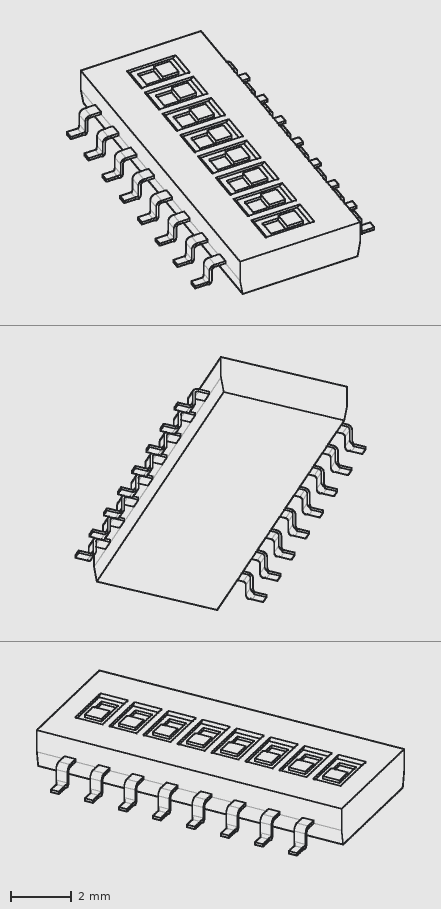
import cadquery as cq
import math

OVERALL_HEIGHT = 1.52
LEAD_SPAN = 6.7
POSITIONS = 8
PITCH = 1.27

BODY_LENGTH = 11.39
BODY_WIDTH = 4.5
STANDOFF = 0.1
PARTING_HEIGHT = 0.7
BASE_INSET = 0.1

WINDOW_LENGTH = 1.02
WINDOW_WIDTH = 1.82
WINDOW_DEPTH = 0.1
WINDOW_END_SLOPE = WINDOW_DEPTH

WELL_LENGTH = 0.62
WELL_WIDTH = 1.2
WELL_DEPTH = 0.1
KNOB_RISE = WINDOW_DEPTH

LEAD_THICKNESS = 0.1
LEAD_WIDTH = 0.42
TIP_WIDTH = 0.3
LEAD_TOP = 0.8
LEAD_OUTER_FACE = 2.85
KNEE_INNER_RADIUS = 0.1
ANKLE_INNER_RADIUS = 0.1
TAPER_LENGTH = (LEAD_WIDTH - TIP_WIDTH) / 2
LEAD_EMBED = 0.2

POSITION_CENTRES = [(i - (POSITIONS - 1) / 2) * PITCH for i in range(POSITIONS)]
WINDOW_FLOOR = OVERALL_HEIGHT - WINDOW_DEPTH
WELL_FLOOR = WINDOW_FLOOR - WELL_DEPTH


def make_body():
    """Housing with straight upper walls and long sides that taper in below the parting line."""
    half_width = BODY_WIDTH / 2
    half_base = half_width - BASE_INSET
    profile = [
        (-half_base, STANDOFF),
        (half_base, STANDOFF),
        (half_width, PARTING_HEIGHT),
        (half_width, OVERALL_HEIGHT),
        (-half_width, OVERALL_HEIGHT),
        (-half_width, PARTING_HEIGHT),
    ]
    return cq.Workplane("YZ").polyline(profile).close().extrude(BODY_LENGTH / 2, both=True)


def make_window_cutter():
    """Shallow window with sloping ends and upright sides."""
    half_top = WINDOW_WIDTH / 2
    half_floor = half_top - WINDOW_END_SLOPE
    profile = [
        (-half_floor, WINDOW_FLOOR),
        (half_floor, WINDOW_FLOOR),
        (half_top, OVERALL_HEIGHT),
        (-half_top, OVERALL_HEIGHT),
    ]
    return cq.Workplane("YZ").polyline(profile).close().extrude(WINDOW_LENGTH / 2, both=True)


def make_well_cutter():
    """Slider well: the -Y half of the slider opening, sunk below the window floor."""
    return (
        cq.Workplane("XY", origin=(0, -WELL_WIDTH / 4, WELL_FLOOR))
        .rect(WELL_LENGTH, WELL_WIDTH / 2)
        .extrude(WELL_DEPTH)
    )


def make_knob():
    """Slider knob: fills the +Y half of the slider opening and rises above the window floor."""
    return (
        cq.Workplane("XY", origin=(0, WELL_WIDTH / 4, WELL_FLOOR))
        .rect(WELL_LENGTH, WELL_WIDTH / 2)
        .extrude(WELL_DEPTH + KNOB_RISE)
    )


def arc_middle(centre, radius, degrees):
    """Point on a circle, used as the middle of a quarter bend."""
    angle = math.radians(degrees)
    return (centre[0] + radius * math.cos(angle), centre[1] + radius * math.sin(angle))


def make_lead():
    """Gull-wing lead on the +Y side at X = 0, narrowed from the ankle bend to the tip."""
    root = BODY_WIDTH / 2 - LEAD_EMBED
    tip = LEAD_SPAN / 2
    inner_face = LEAD_OUTER_FACE - LEAD_THICKNESS
    knee_outer_radius = KNEE_INNER_RADIUS + LEAD_THICKNESS
    ankle_outer_radius = ANKLE_INNER_RADIUS + LEAD_THICKNESS
    knee = (inner_face - KNEE_INNER_RADIUS, LEAD_TOP - knee_outer_radius)
    ankle = (LEAD_OUTER_FACE + ANKLE_INNER_RADIUS, ankle_outer_radius)

    strip = (
        cq.Workplane("YZ")
        .moveTo(root, LEAD_TOP)
        .lineTo(knee[0], LEAD_TOP)
        .threePointArc(arc_middle(knee, knee_outer_radius, 45), (LEAD_OUTER_FACE, knee[1]))
        .lineTo(LEAD_OUTER_FACE, ankle[1])
        .threePointArc(arc_middle(ankle, ANKLE_INNER_RADIUS, 225), (ankle[0], LEAD_THICKNESS))
        .lineTo(tip, LEAD_THICKNESS)
        .lineTo(tip, 0)
        .lineTo(ankle[0], 0)
        .threePointArc(arc_middle(ankle, ankle_outer_radius, 225), (inner_face, ankle[1]))
        .lineTo(inner_face, knee[1])
        .threePointArc(arc_middle(knee, KNEE_INNER_RADIUS, 45), (knee[0], LEAD_TOP - LEAD_THICKNESS))
        .lineTo(root, LEAD_TOP - LEAD_THICKNESS)
        .close()
        .extrude(LEAD_WIDTH / 2, both=True)
    )

    half_lead = LEAD_WIDTH / 2
    half_tip = TIP_WIDTH / 2
    taper_end = LEAD_OUTER_FACE + TAPER_LENGTH
    plan = [
        (-half_lead, root),
        (half_lead, root),
        (half_lead, LEAD_OUTER_FACE),
        (half_tip, taper_end),
        (half_tip, tip),
        (-half_tip, tip),
        (-half_tip, taper_end),
        (-half_lead, LEAD_OUTER_FACE),
    ]
    return strip.intersect(cq.Workplane("XY").polyline(plan).close().extrude(LEAD_TOP))


def build_switch():
    switch = make_body()
    window = make_window_cutter()
    well = make_well_cutter()
    knob = make_knob()
    lead = make_lead()
    opposite_lead = lead.mirror("XZ")
    for x in POSITION_CENTRES:
        place = (x, 0, 0)
        switch = switch.cut(window.translate(place)).cut(well.translate(place))
        switch = switch.union(knob.translate(place))
        switch = switch.union(lead.translate(place)).union(opposite_lead.translate(place))
    return switch


result = build_switch()